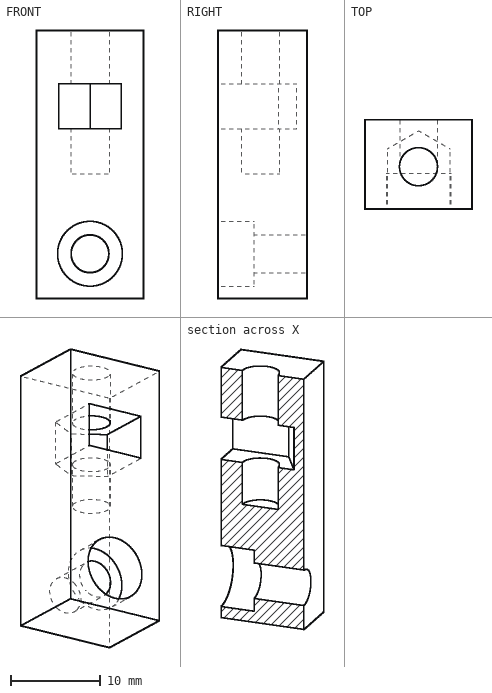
import cadquery as cq
import math

width = 12.0
depth = 10.0
height = 30.0
front = -depth / 2

cross_hole_height = 5.0
cross_hole_diameter = 4.2
counterbore_diameter = 7.25
counterbore_depth = 4.0

slot_width = 7.0
slot_height = 5.0
slot_top = height - 6.0
slot_bottom = slot_top - slot_height
nut_angle = math.radians(30)

screw_diameter = 4.25
screw_from_front = 4.75
screw_depth_below_slot = 5.0
screw_bottom = slot_bottom - screw_depth_below_slot
screw_y = front + screw_from_front

nut_corner_radius = slot_width / 2 / math.cos(nut_angle)
v_tip_y = screw_y + nut_corner_radius
v_start_y = screw_y + nut_corner_radius * math.sin(nut_angle)


def make_block():
    return cq.Workplane("XY").box(width, depth, height, centered=(True, True, False))


def front_cylinder(diameter, length):
    """Cylinder on the cross hole axis, running back from the front face."""
    return (
        cq.Workplane("XZ", origin=(0, front, cross_hole_height))
        .circle(diameter / 2)
        .extrude(-length)
    )


def nut_slot():
    half_width = slot_width / 2
    return (
        cq.Workplane("XY", origin=(0, 0, slot_bottom))
        .moveTo(-half_width, front)
        .lineTo(half_width, front)
        .lineTo(half_width, v_start_y)
        .lineTo(0, v_tip_y)
        .lineTo(-half_width, v_start_y)
        .close()
        .extrude(slot_height)
    )


def screw_hole():
    return (
        cq.Workplane("XY", origin=(0, screw_y, screw_bottom))
        .circle(screw_diameter / 2)
        .extrude(height - screw_bottom)
    )


result = (
    make_block()
    .cut(front_cylinder(cross_hole_diameter, depth))
    .cut(front_cylinder(counterbore_diameter, counterbore_depth))
    .cut(nut_slot())
    .cut(screw_hole())
)